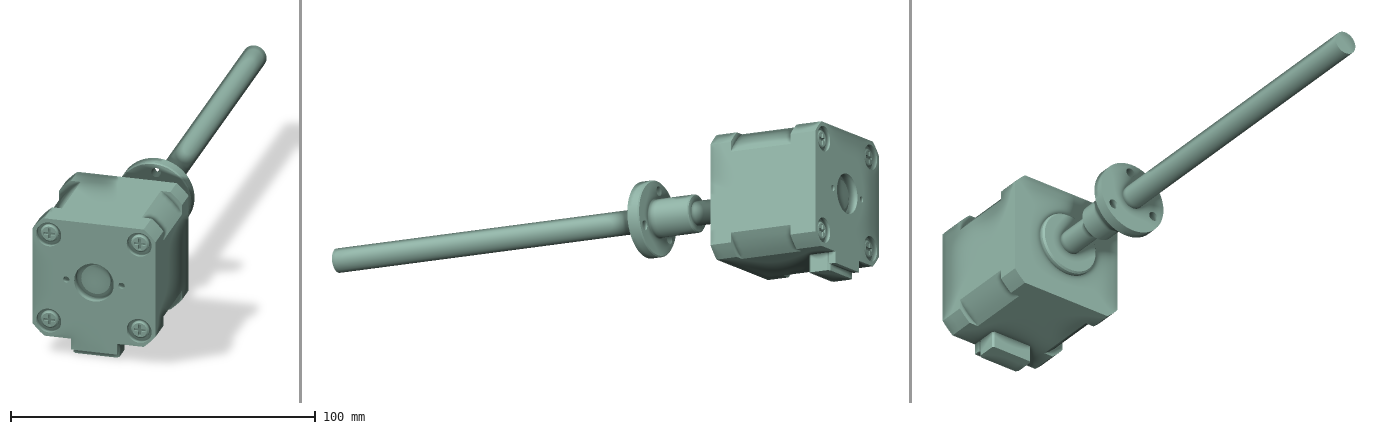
import cadquery as cq
import math


total_length = 192.8

motor_width = 42.0
motor_length = 39.7
front_cap_length = 7.7
rear_cap_length = 9.5
cap_corner_radius = 27.0
stator_corner_radius = 25.0
pilot_radius = 11.0
pilot_height = 2.1
pilot_chamfer = 0.5

recess_radius = 6.7
recess_depth = 3.3
boss_radius = 5.0
boss_height = 1.0
pin_hole_radius = 1.06
pin_hole_offset = 9.5
pin_hole_depth = 2.0
screw_head_offset = 15.5
counterbore_radius = 4.2
counterbore_depth = 1.7
head_radius = 3.0
head_height = 1.2
head_chamfer = 0.5
cross_length = 3.9
cross_width = 1.0
cross_depth = 0.8

connector_width = 15.6
connector_length = 7.7
connector_height = 6.0
connector_front_chamfer = 0.5
connector_rear_chamfer = 0.8
tongue_length = 2.3
tongue_height = 3.9

screw_radius = 4.0
journal_radius = 2.3

nut_flange_face = 36.2
nut_flange_radius = 12.7
nut_flange_thickness = 4.2
nut_body_radius = 6.4
nut_body_length = 15.0
nut_chamfer = 0.4
nut_root_fillet = 0.4
nut_hole_count = 3
nut_hole_radius = 1.64
nut_hole_circle_radius = 9.5
nut_first_hole_angle = 95.0

rear_face = -motor_length
rear_cap_front = rear_face + rear_cap_length
stator_front = -front_cap_length
recess_floor = rear_face + recess_depth
boss_face = recess_floor - boss_height
screw_tip = rear_face + total_length
motor_bottom = -motor_width / 2
screw_head_places = [
    (x, z)
    for x in (-screw_head_offset, screw_head_offset)
    for z in (-screw_head_offset, screw_head_offset)
]


def plane_at(y):
    """XZ plane at the given Y: local x is -X, local y is Z, and extrusions run towards +Y."""
    return cq.Workplane(cq.Plane(origin=(0, y, 0), xDir=(-1, 0, 0), normal=(0, 1, 0)))


def cylinder(y_start, y_end, radius):
    return plane_at(y_start).circle(radius).extrude(y_end - y_start)


def turned_square(y_start, y_end, corner_radius):
    """Square block whose corners are turned down to a cylinder about the motor axis."""
    block = plane_at(y_start).rect(motor_width, motor_width).extrude(y_end - y_start)
    return block.intersect(cylinder(y_start, y_end, corner_radius))


def make_rear_recess():
    """Round recess with a low boss left standing around the end of the journal."""
    recess = cylinder(rear_face, recess_floor, recess_radius)
    return recess.cut(cylinder(boss_face, recess_floor, boss_radius))


def make_screw_heads():
    """Cross-recessed screw heads standing on the counterbore floors."""
    floor = rear_face + counterbore_depth
    top = floor - head_height
    heads = plane_at(top).pushPoints(screw_head_places).circle(head_radius).extrude(head_height)
    heads = heads.faces("<Y").chamfer(head_chamfer)
    for length, width in ((cross_length, cross_width), (cross_width, cross_length)):
        heads = heads.cut(plane_at(top).pushPoints(screw_head_places).rect(length, width).extrude(cross_depth))
    return heads


def make_motor():
    motor = turned_square(rear_face, rear_cap_front, cap_corner_radius)
    motor = motor.union(turned_square(rear_cap_front, stator_front, stator_corner_radius))
    motor = motor.union(turned_square(stator_front, 0, cap_corner_radius))
    pilot = cylinder(0, pilot_height, pilot_radius).faces(">Y").chamfer(pilot_chamfer)
    motor = motor.union(pilot)

    tongue = cq.Workplane("XY").box(
        connector_width, tongue_length, tongue_height, centered=(True, False, False)
    ).translate((0, rear_face, motor_bottom - tongue_height))
    motor = motor.union(tongue)

    motor = motor.cut(make_rear_recess())
    pin_holes = (
        plane_at(rear_face)
        .pushPoints([(-pin_hole_offset, 0), (pin_hole_offset, 0)])
        .circle(pin_hole_radius)
        .extrude(pin_hole_depth)
    )
    motor = motor.cut(pin_holes)
    counterbores = (
        plane_at(rear_face).pushPoints(screw_head_places).circle(counterbore_radius).extrude(counterbore_depth)
    )
    motor = motor.cut(counterbores).union(make_screw_heads())
    return motor.cut(make_lead_screw())


def make_connector():
    """Block under the rear cap, in front of the tongue, with chamfered upright edges."""
    return (
        cq.Workplane("XY")
        .box(connector_width, connector_length, connector_height, centered=(True, False, False))
        .translate((0, rear_face + tongue_length, motor_bottom - connector_height))
        .faces(">Y")
        .edges("|Z")
        .chamfer(connector_front_chamfer)
        .faces("<Y")
        .edges("|Z")
        .chamfer(connector_rear_chamfer)
    )


def make_lead_screw():
    """Smooth screw with a thinner journal that runs through the rear cap to the boss face."""
    journal = cylinder(boss_face, rear_cap_front, journal_radius)
    return journal.union(cylinder(rear_cap_front, screw_tip, screw_radius))


def make_nut():
    flange_back = nut_flange_face - nut_flange_thickness
    body_end = flange_back - nut_body_length
    flange = cylinder(flange_back, nut_flange_face, nut_flange_radius).faces("<Y").chamfer(nut_chamfer)
    body = cylinder(body_end, flange_back, nut_body_radius).faces("<Y").chamfer(nut_chamfer)
    nut = flange.union(body)
    root_reach = nut_body_radius + nut_root_fillet
    root_edge = cq.selectors.BoxSelector(
        (-root_reach, flange_back - nut_root_fillet, -root_reach),
        (root_reach, flange_back + nut_root_fillet / 2, root_reach),
        boundingbox=True,
    )
    nut = nut.edges(root_edge).fillet(nut_root_fillet)
    for index in range(nut_hole_count):
        angle = math.radians(nut_first_hole_angle + index * 360 / nut_hole_count)
        place = (nut_hole_circle_radius * math.cos(angle), nut_hole_circle_radius * math.sin(angle))
        hole = plane_at(flange_back).pushPoints([place]).circle(nut_hole_radius).extrude(nut_flange_thickness)
        nut = nut.cut(hole)
    return nut.cut(cylinder(body_end, nut_flange_face, screw_radius))


motor = make_motor()
connector = make_connector()
lead_screw = make_lead_screw()
nut = make_nut()

result = cq.Compound.makeCompound([motor.val(), connector.val(), lead_screw.val(), nut.val()])